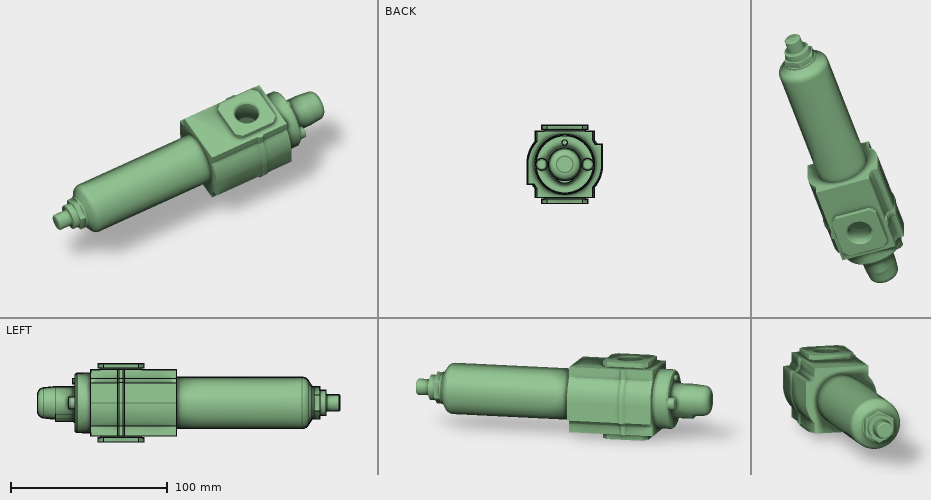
import cadquery as cq
import math


TOTAL_LENGTH = 193.1

HOUSING_BACK = 19.3
HOUSING_FRONT = -35.5
HOUSING_HALF_HEIGHT = 21.2
SIDE_HALF_WIDTH = 17.8
BULGE_HALF_WIDTH = 23.5
LEDGE_HEIGHT = 12.5
SLANT_TOP = 15.5
SLANT_FOOT_HALF_WIDTH = 19.5
FLANK_END = 14.7

BAND_CREST_WIDTH = 2.3
BAND_BASE_WIDTH = 4.6
BAND_SIDE_RISE = 1.2
BAND_BULGE_RISE = 0.68
BAND_LEDGE_RISE = 0.4

PAD_FACE_HEIGHT = 25.1
PAD_SIZE = 29.5
PAD_CORNER = 3.5
PAD_NECK_SIZE = 26.3
PAD_NECK_HEIGHT = 1.0
PORT_DIAMETER = 15.5
PORT_DEPTH = 15.5
PORT_CHAMFER = 1.0

FLANGE_FACE = 29.4
FLANGE_BASE_RADIUS = 19.1
FLANGE_DRAFT = 0.5
FLANGE_CHAMFER_DEPTH = 1.2
FLANGE_CHAMFER_WIDTH = 0.8
STEM_END = 41.9
STEM_RADIUS = 10.5
STEM_NOSE_RADIUS = 6.5
STEM_FILLET = 1.2
DOME_END = 53.3
DOME_END_RADIUS = 9.3
DOME_FILLET = 4.5
VENT_DIAMETER = 3.5
VENT_HEIGHT = 1.7
VENT_OFFSET = 13.9

SCREW_DIAMETER = 7.5
SCREW_HEIGHT = 4.0
SCREW_OFFSET = 14.7
SCREW_FILLET = 0.8

BOWL_RADIUS = 16.5
BOWL_WALL_END = -115.7
BOWL_ARC_RADIUS = 13.9
BOWL_ARC_END = -119.7
BOWL_CONE_END = -122.0
NUT_BACK = -123.2
NUT_FRONT = -126.9
NUT_ACROSS_FLATS = 18.0
NUT_TURN = 30
COLLAR_RADIUS = 8.1
COLLAR_END = -131.0
PIN_RADIUS = 5.2
PIN_END = DOME_END - TOTAL_LENGTH
PIN_FILLET = 0.8
PIN_CHAMFER = 0.5


def section(y):
    """Workplane across the long axis at y: local x is X, local y is Z, extruding toward -Y."""
    return cq.Workplane("XZ", origin=(0, y, 0))


def axial_profile():
    """Workplane holding the long axis: local x is Y, local y is the radius toward +Z."""
    return cq.Workplane("YZ")


def housing_outline(y, side, bulge, ledge):
    """Closed housing section at y, with the flanks as arcs tangent to the bulge at z = 0."""
    drop = bulge - side
    flank_radius = (FLANK_END**2 + drop**2) / (2 * drop)
    half_angle = math.asin(FLANK_END / flank_radius) / 2
    mid_x = bulge - flank_radius * (1 - math.cos(half_angle))
    mid_z = flank_radius * math.sin(half_angle)
    slant_foot = side + SLANT_FOOT_HALF_WIDTH - SIDE_HALF_WIDTH
    top = HOUSING_HALF_HEIGHT
    return (
        section(y)
        .moveTo(-side, top)
        .lineTo(-side, SLANT_TOP)
        .lineTo(-slant_foot, ledge)
        .lineTo(-bulge, ledge)
        .lineTo(-bulge, 0)
        .threePointArc((-mid_x, -mid_z), (-side, -FLANK_END))
        .lineTo(-side, -top)
        .lineTo(side, -top)
        .lineTo(side, -SLANT_TOP)
        .lineTo(slant_foot, -ledge)
        .lineTo(bulge, -ledge)
        .lineTo(bulge, 0)
        .threePointArc((mid_x, mid_z), (side, FLANK_END))
        .lineTo(side, top)
        .close()
    )


def plain_outline(y):
    return housing_outline(y, SIDE_HALF_WIDTH, BULGE_HALF_WIDTH, LEDGE_HEIGHT)


def crest_outline(y):
    return housing_outline(
        y,
        SIDE_HALF_WIDTH + BAND_SIDE_RISE,
        BULGE_HALF_WIDTH + BAND_BULGE_RISE,
        LEDGE_HEIGHT + BAND_LEDGE_RISE,
    )


def make_band():
    """Raised band: a straight crest between two sloping sides."""
    crest = BAND_CREST_WIDTH / 2
    base = BAND_BASE_WIDTH / 2
    band = crest_outline(crest).extrude(BAND_CREST_WIDTH)
    for direction in (1, -1):
        crest_wire = crest_outline(direction * crest).wire().val()
        base_wire = plain_outline(direction * base).wire().val()
        band = band.union(cq.Workplane(cq.Solid.makeLoft([base_wire, crest_wire], True)))
    return band


def make_pad():
    """Square plate with cut corners, standing on a lower square neck on the top face."""
    plate_foot = HOUSING_HALF_HEIGHT + PAD_NECK_HEIGHT
    neck = (
        cq.Workplane(origin=(0, 0, HOUSING_HALF_HEIGHT))
        .rect(PAD_NECK_SIZE, PAD_NECK_SIZE)
        .extrude(PAD_NECK_HEIGHT)
    )
    plate = (
        cq.Workplane(origin=(0, 0, plate_foot))
        .rect(PAD_SIZE, PAD_SIZE)
        .extrude(PAD_FACE_HEIGHT - plate_foot)
        .edges("|Z")
        .chamfer(PAD_CORNER)
    )
    return plate.union(neck)


def make_port():
    """Blind port hole with a chamfered mouth, as a cutting body."""
    radius = PORT_DIAMETER / 2
    mouth = radius + PORT_CHAMFER
    return (
        cq.Workplane("XZ")
        .moveTo(0, PAD_FACE_HEIGHT)
        .lineTo(mouth, PAD_FACE_HEIGHT)
        .lineTo(radius, PAD_FACE_HEIGHT - PORT_CHAMFER)
        .lineTo(radius, PAD_FACE_HEIGHT - PORT_DEPTH)
        .lineTo(0, PAD_FACE_HEIGHT - PORT_DEPTH)
        .close()
        .revolve(360, (0, 0, 0), (0, 1, 0))
    )


def make_housing():
    housing = plain_outline(HOUSING_BACK).extrude(HOUSING_BACK - HOUSING_FRONT)
    housing = housing.union(make_band())
    for turn in (0, 180):
        housing = housing.union(make_pad().rotate((0, 0, 0), (0, 1, 0), turn))
        housing = housing.cut(make_port().rotate((0, 0, 0), (0, 1, 0), turn))
    return housing


def make_flange():
    """Slightly tapered disc with a chamfered rim."""
    wall_end = FLANGE_FACE - FLANGE_CHAMFER_DEPTH
    taper = (wall_end - HOUSING_BACK) * math.tan(math.radians(FLANGE_DRAFT))
    rim_radius = FLANGE_BASE_RADIUS - taper
    return (
        axial_profile()
        .moveTo(HOUSING_BACK, 0)
        .lineTo(HOUSING_BACK, FLANGE_BASE_RADIUS)
        .lineTo(wall_end, rim_radius)
        .lineTo(FLANGE_FACE, rim_radius - FLANGE_CHAMFER_WIDTH)
        .lineTo(FLANGE_FACE, 0)
        .close()
        .revolve(360, (0, 0, 0), (1, 0, 0))
    )


def make_stem():
    """Teardrop section: a circle with sides at 45 degrees, tangent to it and to a small nose below."""
    diagonal = math.sqrt(0.5)
    nose_centre = (STEM_NOSE_RADIUS - STEM_RADIUS) / diagonal
    shoulder = STEM_RADIUS * diagonal
    nose_x = STEM_NOSE_RADIUS * diagonal
    nose_z = nose_centre - nose_x
    return (
        section(STEM_END)
        .moveTo(-shoulder, -shoulder)
        .threePointArc((0, STEM_RADIUS), (shoulder, -shoulder))
        .lineTo(nose_x, nose_z)
        .threePointArc((0, nose_centre - STEM_NOSE_RADIUS), (-nose_x, nose_z))
        .close()
        .extrude(STEM_END - FLANGE_FACE)
    )


def make_dome():
    """Dome tapering from the stem to a rounded end."""
    return (
        axial_profile()
        .moveTo(STEM_END, 0)
        .lineTo(STEM_END, STEM_RADIUS)
        .lineTo(DOME_END, DOME_END_RADIUS)
        .lineTo(DOME_END, 0)
        .close()
        .revolve(360, (0, 0, 0), (1, 0, 0))
        .faces(">Y")
        .edges()
        .fillet(DOME_FILLET)
    )


def stem_foot_selector():
    """Box selector for the edges where the stem meets the flange face."""
    margin = 0.2
    reach = math.sqrt(2) * STEM_RADIUS
    return cq.selectors.BoxSelector(
        (-reach, FLANGE_FACE - margin, -reach),
        (reach, FLANGE_FACE + margin, reach),
        boundingbox=True,
    )


def make_bonnet(screws):
    """Flange, stem, dome and vent in one piece, with the stem fillet cut clear of the screw heads."""
    bonnet = make_flange().union(make_stem())
    bonnet = bonnet.edges(stem_foot_selector()).fillet(STEM_FILLET)
    vent = (
        section(FLANGE_FACE + VENT_HEIGHT)
        .center(0, VENT_OFFSET)
        .circle(VENT_DIAMETER / 2)
        .extrude(VENT_HEIGHT)
    )
    bonnet = bonnet.union(make_dome()).union(vent)
    for screw in screws:
        bonnet = bonnet.cut(screw)
    return bonnet


def make_screw(x):
    """Round screw head standing on the flange face."""
    return (
        section(FLANGE_FACE + SCREW_HEIGHT)
        .center(x, 0)
        .circle(SCREW_DIAMETER / 2)
        .extrude(SCREW_HEIGHT)
        .faces(">Y")
        .edges()
        .fillet(SCREW_FILLET)
    )


def make_bowl():
    """Round bowl with the hexagon, collar and pin of its drain at the front end."""
    nut_corner_radius = NUT_ACROSS_FLATS / math.sqrt(3)
    shell = (
        axial_profile()
        .moveTo(HOUSING_FRONT, 0)
        .lineTo(HOUSING_FRONT, BOWL_RADIUS)
        .lineTo(BOWL_WALL_END, BOWL_RADIUS)
        .tangentArcPoint((BOWL_ARC_END, BOWL_ARC_RADIUS), relative=False)
        .lineTo(BOWL_CONE_END, nut_corner_radius)
        .lineTo(NUT_BACK, nut_corner_radius)
        .lineTo(NUT_BACK, 0)
        .close()
        .revolve(360, (0, 0, 0), (1, 0, 0))
    )
    nut = (
        section(NUT_BACK)
        .polygon(6, 2 * nut_corner_radius)
        .extrude(NUT_BACK - NUT_FRONT)
        .rotate((0, 0, 0), (0, 1, 0), NUT_TURN)
    )
    collar = section(NUT_FRONT).circle(COLLAR_RADIUS).extrude(NUT_FRONT - COLLAR_END)
    pin = (
        axial_profile()
        .moveTo(COLLAR_END, 0)
        .lineTo(COLLAR_END, PIN_RADIUS + PIN_FILLET)
        .radiusArc((COLLAR_END - PIN_FILLET, PIN_RADIUS), PIN_FILLET)
        .lineTo(PIN_END + PIN_CHAMFER, PIN_RADIUS)
        .lineTo(PIN_END, PIN_RADIUS - PIN_CHAMFER)
        .lineTo(PIN_END, 0)
        .close()
        .revolve(360, (0, 0, 0), (1, 0, 0))
    )
    return shell.union(nut).union(collar).union(pin)


housing = make_housing()
screws = [make_screw(side * SCREW_OFFSET) for side in (-1, 1)]
bonnet = make_bonnet(screws)
bowl = make_bowl()

result = cq.Compound.makeCompound(
    [housing.val(), bonnet.val(), bowl.val(), *[screw.val() for screw in screws]]
)